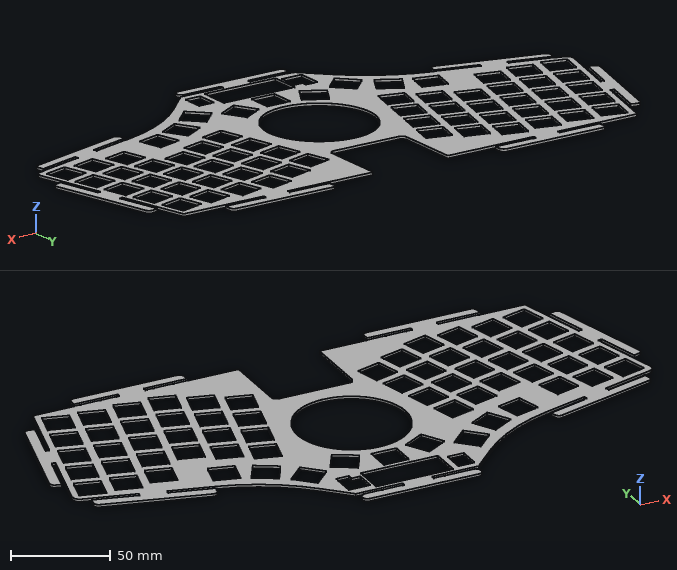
import cadquery as cq
import math

THICKNESS = 1.6
TILT = 15
SIN_TILT = math.sin(math.radians(TILT))
COS_TILT = math.cos(math.radians(TILT))

TOP_Y = 80.7
BOTTOM_Y = -73.0
BOTTOM_HALF_WIDTH = 34.8
FLANK_ANGLE = 45
SIDE_U = 155.7
LOWER_V = -56.5
NOTCH_HALF_WIDTH = 22.8
NOTCH_FLOOR_Y = 41.5
NOTCH_FILLET = 2.7
TOP_CORNER_RADIUS = 1.0
SIDE_CORNER_RADIUS = 4.0
FLANK_RADIUS = 100.5

RAIL_WIDTH = 6.0
RAIL_LENGTH = 64.3
BOTTOM_RAIL_LENGTH = 67.5
RAIL_GAP = 2.0
RAIL_CORNER_RADIUS = 2.85
NECK_LENGTH = 14.7
BOTTOM_NECK_LENGTH = 16.7
TOP_RAIL_X = 83.0
SIDE_RAIL_V = -6.0
LOWER_RAIL_U = 114.5

BALL_DIAMETER = 61.0
KEY_SIZE = 14.0
KEY_PITCH = 19.0
INNER_COLUMN_U = 49.2
COLUMNS = [(34.8, 4), (38.5, 4), (42.2, 4), (38.0, 5), (33.5, 5), (31.0, 5)]
THUMB_KEYS = [(83.5, -21.8, 15), (64.0, -30.0, 30), (46.2, -43.2, 45), (22.8, -37.0, 30)]
CENTRE_KEY_Y = -43.0
DISPLAY_WIDTH = 43.5
DISPLAY_HEIGHT = 17.0
DISPLAY_Y = -61.5
LEFT_WINDOW = (-35.8, -23.8, -67.3, -56.2)
LEFT_WINDOW_STEP = (-35.8, -28.8, -56.2, -53.2)
RIGHT_WINDOW = (25.8, 34.8, -68.3, -56.2)


def from_tilted(u, v):
    """Plain x, y of a point given in the tilted axes."""
    return (u * COS_TILT - v * SIN_TILT, u * SIN_TILT + v * COS_TILT)


def placed(solid, x, y, turn):
    """The solid turned about the Z axis, then moved to x, y."""
    return solid.rotate((0, 0, 0), (0, 0, 1), turn).translate((x, y, 0))


def box(x_min, x_max, y_min, y_max):
    """A sheet-thick rectangular block."""
    return cq.Workplane("XY").box(x_max - x_min, y_max - y_min, THICKNESS, centered=False).translate(
        (x_min, y_min, 0)
    )


def square(x, y, turn):
    """A key-sized block centred at x, y and turned about its own centre."""
    return placed(cq.Workplane("XY").rect(KEY_SIZE, KEY_SIZE).extrude(THICKNESS), x, y, turn)


def both_sides(solid):
    """The solid joined with its mirror image across X = 0."""
    return solid.union(solid.mirror("YZ"))


def half_body():
    """The sheet right of X = 0, without rails or openings."""
    side_top = ((SIDE_U - TOP_Y * SIN_TILT) / COS_TILT, TOP_Y)
    side_bottom = from_tilted(SIDE_U, LOWER_V)
    tilt_slope = math.tan(math.radians(TILT))
    flank_slope = math.tan(math.radians(FLANK_ANGLE))
    lower_y_at_zero = LOWER_V / COS_TILT
    knee_x = (lower_y_at_zero - BOTTOM_Y + flank_slope * BOTTOM_HALF_WIDTH) / (flank_slope - tilt_slope)
    knee = (knee_x, lower_y_at_zero + tilt_slope * knee_x)
    notch_corner = (NOTCH_HALF_WIDTH, NOTCH_FLOOR_Y)
    top_corner = (NOTCH_HALF_WIDTH, TOP_Y)
    outline = [
        (0, NOTCH_FLOOR_Y),
        notch_corner,
        top_corner,
        side_top,
        side_bottom,
        knee,
        (BOTTOM_HALF_WIDTH, BOTTOM_Y),
        (0, BOTTOM_Y),
    ]
    body = cq.Workplane("XY").polyline(outline).close().extrude(THICKNESS)
    corner_radii = [
        (notch_corner, NOTCH_FILLET),
        (top_corner, TOP_CORNER_RADIUS),
        (side_top, TOP_CORNER_RADIUS),
        (side_bottom, SIDE_CORNER_RADIUS),
        (knee, FLANK_RADIUS),
    ]
    for (x, y), radius in corner_radii:
        body = body.edges(cq.NearestToPointSelector((x, y, THICKNESS / 2))).fillet(radius)
    return body


def rail(length, neck_length, rounded="|Z and >Y"):
    """A rail above the X axis, centred on X = 0, with its neck reaching into the body below.

    The corners on the edges picked by `rounded` are filleted; by default the two far from the body.
    """
    bar = box(-length / 2, length / 2, RAIL_GAP, RAIL_GAP + RAIL_WIDTH)
    bar = bar.edges(rounded).fillet(RAIL_CORNER_RADIUS)
    neck = box(-neck_length / 2, neck_length / 2, -RAIL_GAP, RAIL_GAP + RAIL_WIDTH / 2)
    return bar.union(neck)


def half_rails():
    """The top, side and lower rails on the right."""
    standard = rail(RAIL_LENGTH, NECK_LENGTH)
    top = placed(standard, TOP_RAIL_X, TOP_Y, 0)
    side = placed(standard, *from_tilted(SIDE_U, SIDE_RAIL_V), TILT - 90)
    lower = placed(standard, *from_tilted(LOWER_RAIL_U, LOWER_V), TILT + 180)
    return top.union(side).union(lower)


def half_keys():
    """Cutting blocks for the keys on the right."""
    keys = cq.Workplane("XY")
    for column, (top_v, count) in enumerate(COLUMNS):
        for row in range(count):
            x, y = from_tilted(INNER_COLUMN_U + column * KEY_PITCH, top_v - row * KEY_PITCH)
            keys = keys.add(square(x, y, TILT))
    for x, y, turn in THUMB_KEYS:
        keys = keys.add(square(x, y, turn))
    return keys.combine()


def middle_openings():
    """Cutting blocks for the ball, centre key, display and its side windows."""
    ball = cq.Workplane("XY").circle(BALL_DIAMETER / 2).extrude(THICKNESS)
    display = cq.Workplane("XY").center(0, DISPLAY_Y).rect(DISPLAY_WIDTH, DISPLAY_HEIGHT).extrude(THICKNESS)
    left = box(*LEFT_WINDOW).union(box(*LEFT_WINDOW_STEP))
    right = box(*RIGHT_WINDOW)
    return ball.union(square(0, CENTRE_KEY_Y, 0)).union(display).union(left).union(right)


plate = both_sides(half_body().union(half_rails()))
plate = plate.union(placed(rail(BOTTOM_RAIL_LENGTH, BOTTOM_NECK_LENGTH, "|Z"), 0, BOTTOM_Y, 180))
right_keys = half_keys()
result = plate.cut(right_keys).cut(right_keys.mirror("YZ")).cut(middle_openings())